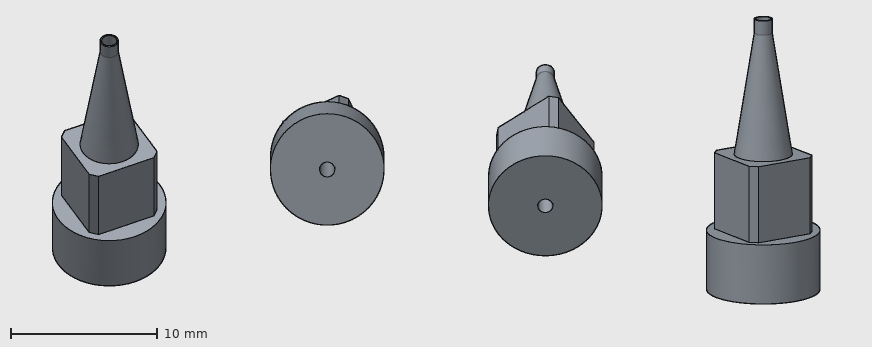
import cadquery as cq

total_height = 19.2
base_height = 4.2
block_height = 5.4
tip_height = 1.0
cone_height = total_height - base_height - block_height - tip_height

base_diameter = 7.8
block_width = 5.2
block_corner_chamfer = 0.48
cone_base_diameter = 4.0
tip_diameter = 1.25
bore_diameter = 1.04

block_bottom = base_height
cone_bottom = block_bottom + block_height
tip_bottom = cone_bottom + cone_height


def make_base():
    """Round foot standing on the XY plane."""
    return cq.Workplane("XY").circle(base_diameter / 2).extrude(base_height)


def make_block():
    """Square wrench block with chamfered upright corners."""
    block = cq.Workplane("XY").workplane(offset=block_bottom).rect(block_width, block_width)
    return block.extrude(block_height).edges("|Z").chamfer(block_corner_chamfer)


def make_nozzle():
    """Cone that narrows to a short cylindrical tip."""
    return (
        cq.Workplane("XZ")
        .moveTo(0, cone_bottom)
        .lineTo(cone_base_diameter / 2, cone_bottom)
        .lineTo(tip_diameter / 2, tip_bottom)
        .lineTo(tip_diameter / 2, total_height)
        .lineTo(0, total_height)
        .close()
        .revolve(360, (0, 0, 0), (0, 1, 0))
    )


def make_bore():
    """Straight passage through the full height."""
    return cq.Workplane("XY").circle(bore_diameter / 2).extrude(total_height)


result = make_base().union(make_block()).union(make_nozzle()).cut(make_bore())